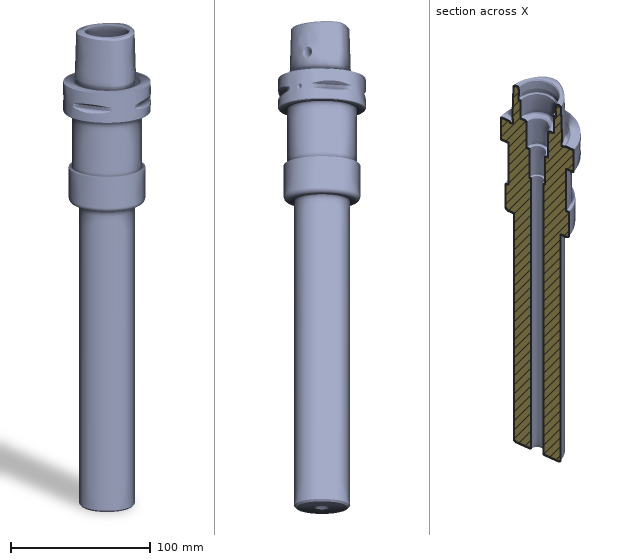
import cadquery as cq
import math

TOTAL_HEIGHT = 355.0
POLYGON_BOTTOM = 319.5
FLANGE_TOP = 317.0
FLANGE_BOTTOM = 294.5
COLLAR_TOP = 253.0
COLLAR_BOTTOM = 227.0

FLANGE_DIAMETER = 63.0
BODY_DIAMETER = 50.0
COLLAR_DIAMETER = 55.0
SHAFT_DIAMETER = 40.0

FLANGE_CHAMFER = 0.55
COLLAR_FILLET = 3.2
SHAFT_CHAMFER = 1.5

RELIEF_DIAMETER = 48.3
RELIEF_FLOOR_DIAMETER = 46.0
RELIEF_DEPTH = 1.0

POLYGON_BASE_RADIUS = 22.0
POLYGON_TOP_RADIUS = 21.0
NECK_INSET = 0.7
LOBE_RISE = 1.25
LOBE_HALF_ANGLE = 24.0
LOBE_COUNT = 3
LOBE_SPACING = 360 / LOBE_COUNT
POLYGON_CHAMFER = 1.5

MOUTH_DIAMETER = 33.0
LEAD_DIAMETER = 31.5
MOUTH_CHAMFER_DEPTH = 1.0
LEAD_END_DIAMETER = 30.5
GROOVE_DIAMETER = 32.0
GROOVE_TOP_DEPTH = 8.0
GROOVE_FLOOR_DEPTH = 12.5
BORE_DIAMETER = 28.0
BORE_DEPTH = 30.0
THREAD_DIAMETER = 17.8
THREAD_CHAMFER = 1.5
THREAD_DEPTH = 56.8
PILOT_DIAMETER = 13.0
PILOT_DEPTH = 85.2
COOLANT_DIAMETER = 10.0

SLOT_COUNT = 4
SLOT_HEIGHT = 305.0
SLOT_FLOOR_RADIUS = 27.7
SLOT_FLOOR_WIDTH = 2.5
SLOT_FLANK_ANGLE = 30.0

SHANK_DIMPLE_DIAMETER = 8.0
SHANK_DIMPLE_HEIGHT = 332.5
FLANGE_DIMPLE_DIAMETER = 4.0
FLANGE_DIMPLE_HEIGHT = 305.0
DIMPLE_POINT_ANGLE = 90.0


def polygon_point(mean_radius, normal_angle):
    """Point of the three-lobed outline where its normal has the given angle."""
    angle = math.radians(normal_angle)
    reach = mean_radius + LOBE_RISE * math.cos(LOBE_COUNT * angle)
    slide = -LOBE_COUNT * LOBE_RISE * math.sin(LOBE_COUNT * angle)
    return (
        reach * math.cos(angle) - slide * math.sin(angle),
        reach * math.sin(angle) + slide * math.cos(angle),
    )


def polygon_outline(mean_radius, height):
    """Three tight lobe arcs joined by three wide flank arcs, one lobe on +X."""
    outline = cq.Workplane("XY", origin=(0, 0, height))
    outline = outline.moveTo(*polygon_point(mean_radius, -LOBE_HALF_ANGLE))
    for lobe in range(LOBE_COUNT):
        tip = lobe * LOBE_SPACING
        flank_middle = tip + LOBE_SPACING / 2
        next_lobe_start = tip + LOBE_SPACING - LOBE_HALF_ANGLE
        outline = outline.threePointArc(
            polygon_point(mean_radius, tip),
            polygon_point(mean_radius, tip + LOBE_HALF_ANGLE),
        ).threePointArc(
            polygon_point(mean_radius, flank_middle),
            polygon_point(mean_radius, next_lobe_start),
        )
    return outline.close().wire().val()


def polygon_shank():
    """Straight neck, long taper and a chamfered end, all with the three-lobed outline."""
    neck_radius = POLYGON_BASE_RADIUS - NECK_INSET
    neck_bottom = FLANGE_TOP - RELIEF_DEPTH
    taper_top = TOTAL_HEIGHT - POLYGON_CHAMFER
    foot = polygon_outline(neck_radius, neck_bottom)
    neck_end = polygon_outline(neck_radius, POLYGON_BOTTOM)
    base = polygon_outline(POLYGON_BASE_RADIUS, POLYGON_BOTTOM)
    shoulder = polygon_outline(POLYGON_TOP_RADIUS, taper_top)
    end = polygon_outline(POLYGON_TOP_RADIUS - POLYGON_CHAMFER, TOTAL_HEIGHT)
    shank = cq.Workplane("XY")
    for lower, upper in [(foot, neck_end), (base, shoulder), (shoulder, end)]:
        shank = shank.union(cq.Workplane("XY").add(cq.Solid.makeLoft([lower, upper], True)))
    return shank


def cylinder(diameter, bottom, top):
    return cq.Workplane("XY").workplane(offset=bottom).circle(diameter / 2).extrude(top - bottom)


def turned_body():
    shaft = cylinder(SHAFT_DIAMETER, 0, COLLAR_BOTTOM).faces("<Z").chamfer(SHAFT_CHAMFER)
    collar = cylinder(COLLAR_DIAMETER, COLLAR_BOTTOM, COLLAR_TOP).faces("<Z").edges().fillet(COLLAR_FILLET)
    body = cylinder(BODY_DIAMETER, COLLAR_TOP, FLANGE_BOTTOM)
    flange = cylinder(FLANGE_DIAMETER, FLANGE_BOTTOM, FLANGE_TOP).faces("<Z").chamfer(FLANGE_CHAMFER)
    return shaft.union(collar).union(body).union(flange.cut(flange_relief()))


def flange_relief():
    """Shallow cone frustum that narrows downward from the flange face."""
    frustum = cq.Solid.makeCone(
        RELIEF_FLOOR_DIAMETER / 2,
        RELIEF_DIAMETER / 2,
        RELIEF_DEPTH,
        pnt=cq.Vector(0, 0, FLANGE_TOP - RELIEF_DEPTH),
    )
    return cq.Workplane("XY").add(frustum)


def bore():
    """Stepped bore with its mouth at the top, running through the whole part."""
    profile = [
        (0, 0),
        (MOUTH_DIAMETER / 2, 0),
        (LEAD_DIAMETER / 2, MOUTH_CHAMFER_DEPTH),
        (LEAD_END_DIAMETER / 2, GROOVE_TOP_DEPTH),
        (GROOVE_DIAMETER / 2, GROOVE_TOP_DEPTH),
        (GROOVE_DIAMETER / 2, GROOVE_FLOOR_DEPTH),
        (BORE_DIAMETER / 2, GROOVE_FLOOR_DEPTH),
        (BORE_DIAMETER / 2, BORE_DEPTH),
        (THREAD_DIAMETER / 2 + THREAD_CHAMFER, BORE_DEPTH),
        (THREAD_DIAMETER / 2, BORE_DEPTH + THREAD_CHAMFER),
        (THREAD_DIAMETER / 2, THREAD_DEPTH),
        (PILOT_DIAMETER / 2, THREAD_DEPTH),
        (PILOT_DIAMETER / 2, PILOT_DEPTH),
        (COOLANT_DIAMETER / 2, PILOT_DEPTH),
        (COOLANT_DIAMETER / 2, TOTAL_HEIGHT),
        (0, TOTAL_HEIGHT),
    ]
    points = [(radius, TOTAL_HEIGHT - depth) for radius, depth in profile]
    return cq.Workplane("XZ").polyline(points).close().revolve(360, (0, 0), (0, 1))


def gripper_slots():
    """Straight trapezoidal slots, one at each diagonal of the flange."""
    outer = FLANGE_DIAMETER / 2
    floor_half = SLOT_FLOOR_WIDTH / 2
    mouth_half = floor_half + (outer - SLOT_FLOOR_RADIUS) * math.tan(math.radians(SLOT_FLANK_ANGLE))
    slot = (
        cq.Workplane("XZ", origin=(0, 0, SLOT_HEIGHT))
        .polyline([
            (SLOT_FLOOR_RADIUS, -floor_half),
            (outer, -mouth_half),
            (outer, mouth_half),
            (SLOT_FLOOR_RADIUS, floor_half),
        ])
        .close()
        .extrude(outer, both=True)
    )
    step = 360 / SLOT_COUNT
    slots = cq.Workplane("XY")
    for index in range(SLOT_COUNT):
        slots = slots.add(slot.rotate((0, 0, 0), (0, 0, 1), (index + 0.5) * step))
    return slots.combine()


def dimple(diameter, surface_x, height):
    """Cone of the given diameter at the surface, pointing toward +X and continued outside the part."""
    depth = diameter / 2 / math.tan(math.radians(DIMPLE_POINT_ANGLE / 2))
    cone = cq.Solid.makeCone(
        diameter, 0, 2 * depth, pnt=cq.Vector(surface_x - depth, 0, height), dir=cq.Vector(1, 0, 0)
    )
    return cq.Workplane("XY").add(cone)


shank_height_share = (SHANK_DIMPLE_HEIGHT - POLYGON_BOTTOM) / (TOTAL_HEIGHT - POLYGON_CHAMFER - POLYGON_BOTTOM)
shank_radius_there = POLYGON_BASE_RADIUS + shank_height_share * (POLYGON_TOP_RADIUS - POLYGON_BASE_RADIUS)
shank_flank_x = LOBE_RISE - shank_radius_there

result = (
    turned_body()
    .union(polygon_shank())
    .cut(bore())
    .cut(gripper_slots())
    .cut(dimple(SHANK_DIMPLE_DIAMETER, shank_flank_x, SHANK_DIMPLE_HEIGHT))
    .cut(dimple(FLANGE_DIMPLE_DIAMETER, -FLANGE_DIAMETER / 2, FLANGE_DIMPLE_HEIGHT))
)